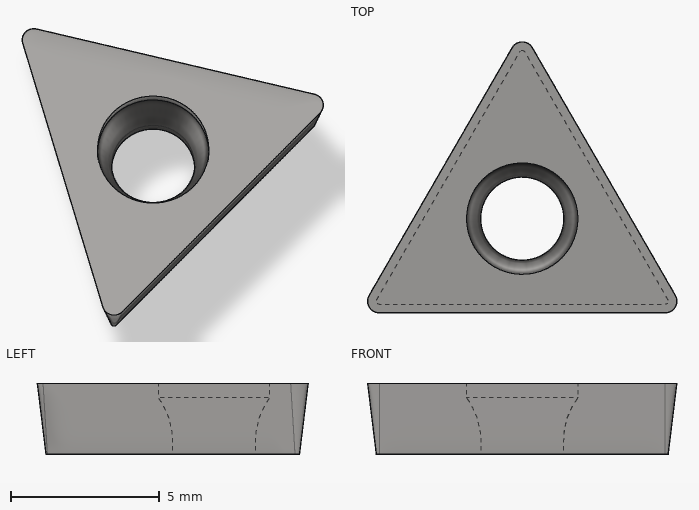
import cadquery as cq
import math

overall_width = 10.41
corner_radius = 0.4
thickness = 2.38
relief_angle = 7.0

sharp_side = overall_width + 2 * corner_radius * (math.sqrt(3) - 1)
circumscribed_radius = sharp_side / math.sqrt(3)

bore_radius = 1.4
mouth_radius = 1.87
mouth_depth = 0.48
seat_arc_radius = 2.39

seat_arc_centre_radius = bore_radius + seat_arc_radius
seat_angle = math.acos((seat_arc_centre_radius - mouth_radius) / seat_arc_radius)
seat_top = thickness - mouth_depth
seat_bottom = seat_top - seat_arc_radius * math.sin(seat_angle)


def insert_body():
    """Rounded triangle, widest at the top and relieved inward towards the bottom."""
    outline = (
        cq.Sketch()
        .regularPolygon(circumscribed_radius, 3)
        .vertices()
        .fillet(corner_radius)
    )
    return (
        cq.Workplane("XY", origin=(0, 0, thickness))
        .placeSketch(outline)
        .extrude(-thickness, taper=relief_angle)
    )


def seat_point(angle):
    """Radius and height on the seat arc, at an angle above its tangent point with the bore."""
    return (
        seat_arc_centre_radius - seat_arc_radius * math.cos(angle),
        seat_bottom + seat_arc_radius * math.sin(angle),
    )


def screw_hole():
    """Solid of revolution that cuts the mouth, seat and bore."""
    return (
        cq.Workplane("XZ")
        .lineTo(bore_radius, 0)
        .lineTo(bore_radius, seat_bottom)
        .threePointArc(seat_point(seat_angle / 2), (mouth_radius, seat_top))
        .lineTo(mouth_radius, thickness)
        .lineTo(0, thickness)
        .close()
        .revolve(360, (0, 0, 0), (0, 1, 0))
    )


result = insert_body().cut(screw_hole())